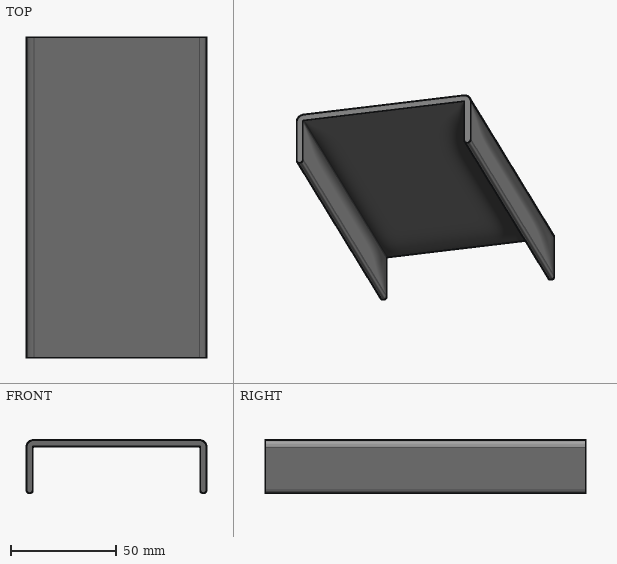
import cadquery as cq

width = 85.725
length = 152.4
height = 25.4

wall = 3.175
inner_bend_radius = 0.381
outer_bend_radius = inner_bend_radius + wall
tip_radius = wall / 2

outer_x = width / 2
inner_x = outer_x - wall
tip_x = outer_x - tip_radius
top_z = height / 2
ceiling_z = top_z - wall
bottom_z = -height / 2
tip_start_z = bottom_z + tip_radius
bend_x = outer_x - outer_bend_radius
bend_z = top_z - outer_bend_radius


def channel_profile():
    """Downward-opening U section with rounded bends and fully rounded leg tips."""
    return (
        cq.Workplane("XZ")
        .moveTo(-bend_x, top_z)
        .lineTo(bend_x, top_z)
        .radiusArc((outer_x, bend_z), outer_bend_radius)
        .lineTo(outer_x, tip_start_z)
        .threePointArc((tip_x, bottom_z), (inner_x, tip_start_z))
        .lineTo(inner_x, bend_z)
        .radiusArc((bend_x, ceiling_z), -inner_bend_radius)
        .lineTo(-bend_x, ceiling_z)
        .radiusArc((-inner_x, bend_z), -inner_bend_radius)
        .lineTo(-inner_x, tip_start_z)
        .threePointArc((-tip_x, bottom_z), (-outer_x, tip_start_z))
        .lineTo(-outer_x, bend_z)
        .radiusArc((-bend_x, top_z), outer_bend_radius)
        .close()
    )


result = channel_profile().extrude(length / 2, both=True)